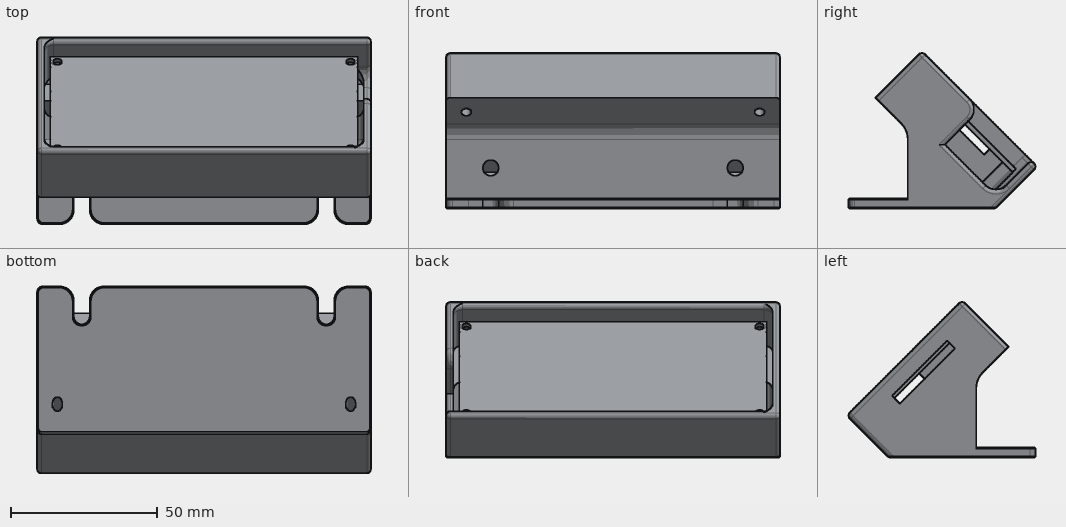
import cadquery as cq
import math

length = 113.8
plate_front_y = -31.9
plate_thickness = 3.5
front_wall_y = -11.7
rear_reach_y = 31.9
height = 53.0
tilt = math.radians(45)

side_wall = 2.5
floor_wall = 3.4
rim_radius = 1.5
rim_flat = 0.06
wall = 2 * rim_radius + rim_flat
face_length = 55.6
face_depth = 22.4
underside_radius = 7.5
plate_corner_radius = 2.0
plate_edge_chamfer = 0.5

mount_x = 41.7
slot_width = 5.3
slot_mouth_radius = 5.0
slot_end_y = -18.9
hole_diameter = 5.3
hole_z = 13.9

corner_radius = 3.0
base_thickness = 4.0
pocket_rear_offset = 9.3
pocket_front_y = -5.9
notch_depth = 17.0
notch_length = 24.6
notch_radius = 5.0
cable_slot_length = 26.5
cable_slot_width = 3.8
cable_slot_top = 6.1
cable_slot_offset = 12.7

board_gap = 1.6
board_side_gap = 2.0
board_thickness = 1.6
board_bottom_depth = 7.3
screw_inset = 2.4
floor_hole_diameter = 3.4
screw_diameter = 3.0
standoff_diameter = 5.0

clearance = 4.5

corner_loss = rim_radius * (math.sqrt(2) - 1)
rear_corner_y = rear_reach_y + corner_loss
front_corner_z = height + corner_loss
rear_corner_z = front_corner_z - face_length * math.sin(tilt)

side_plane = cq.Plane(origin=(0, 0, 0), xDir=(0, 1, 0), normal=(1, 0, 0))

half_length = length / 2
mount_places = (-mount_x, mount_x)
inner_x = half_length - side_wall
inner_rear_u = wall
inner_front_u = face_length - wall
notch_end_u = inner_rear_u + notch_length
floor_depth = face_depth - floor_wall
arc_middle = 1 - math.cos(tilt)
lip_bulge = rim_radius * arc_middle

board_x = inner_x - board_side_gap
board_rear_u = inner_rear_u + board_gap
board_front_u = inner_front_u - board_gap
board_top_depth = board_bottom_depth - board_thickness
screw_places = [
    (x, u)
    for x in (-board_x + screw_inset, board_x - screw_inset)
    for u in (board_rear_u + screw_inset, board_front_u - screw_inset)
]


def at(u, depth):
    """(y, z) of a point u up the open face and a depth below it."""
    along = u * math.cos(tilt)
    down = depth * math.cos(tilt)
    return (rear_corner_y - along - down, rear_corner_z + along - down)


def prism(points, x_from, x_to):
    """Straight prism along X over an outline of (y, z) points."""
    return (
        cq.Workplane(side_plane).workplane(offset=x_from).polyline(points).close().extrude(x_to - x_from)
    )


def tilted_rod(x, u, depth_from, depth_to, diameter):
    """Cylinder square to the open face."""
    y, z = at(u, depth_to)
    axis = cq.Vector(0, math.cos(tilt), math.sin(tilt))
    rod = cq.Solid.makeCylinder(diameter / 2, depth_to - depth_from, cq.Vector(x, y, z), axis)
    return cq.Workplane(rod)




def nearest(body, points):
    """The edges of a body that lie closest to the given points."""
    return body.newObject([body.edges(cq.NearestToPointSelector(point)).val() for point in points])


def rounded_rear(outline_start):
    """Start of a cutting outline: in along the rim, round the rear inner edge, down the rear wall."""
    return (
        outline_start.moveTo(*at(-clearance, 0))
        .lineTo(*at(inner_rear_u - rim_radius, 0))
        .threePointArc(at(inner_rear_u - lip_bulge, lip_bulge), at(inner_rear_u, rim_radius))
    )


def outer_block():
    """Plate and tilted housing as one solid block, with the bend below the tip rounded."""
    tip = at(face_length, face_depth)
    bend = (front_wall_y, tip[0] + tip[1] - front_wall_y)
    outline = [
        (plate_front_y, 0),
        (plate_front_y, plate_thickness),
        (front_wall_y, plate_thickness),
        bend,
        tip,
        at(face_length, 0),
        at(0, 0),
        (rear_corner_y - rear_corner_z, 0),
    ]
    block = prism(outline, -half_length, half_length)
    return nearest(block, [(0, *bend)]).fillet(underside_radius)


def notch():
    """Opening in the +X wall that runs from the rear wall to a rounded end."""
    dip = notch_radius * arc_middle
    start_x = inner_x - corner_radius - clearance
    return (
        rounded_rear(cq.Workplane(side_plane).workplane(offset=start_x))
        .lineTo(*at(inner_rear_u, notch_depth - notch_radius))
        .threePointArc(
            at(inner_rear_u + dip, notch_depth - dip), at(inner_rear_u + notch_radius, notch_depth)
        )
        .lineTo(*at(notch_end_u, notch_depth))
        .lineTo(*at(notch_end_u, notch_radius))
        .threePointArc(at(notch_end_u + dip, dip), at(notch_end_u + notch_radius, 0))
        .lineTo(*at(notch_end_u + notch_radius, -clearance))
        .lineTo(*at(-clearance, -clearance))
        .close()
        .extrude(half_length + clearance - start_x)
    )


def round_outside(block):
    """Round the rim, the front and rear corners and both side outlines above the plate."""
    spots = [(0, *at(0, 0)), (0, *at(face_length, 0))]
    rear_face_middle = at(0, rear_corner_z / math.sin(tilt) / 2)
    for x in (-half_length, half_length):
        spots.append((x, *at(face_length, face_depth / 2)))
        spots.append((x, *rear_face_middle))
    spots.append((-half_length, *at(face_length / 2, 0)))
    spots.append((half_length, *at((notch_end_u + face_length) / 2, 0)))
    spots.append((half_length, *at(notch_end_u, notch_depth / 2)))
    spots.append((half_length, *at(notch_end_u / 2, notch_depth)))
    spots.append((half_length, *at(inner_rear_u, notch_depth / 2)))
    return nearest(block, spots).fillet(rim_radius)


def main_cavity():
    """Tilted box behind the open face, cut off level above the base, with rounded upright corners."""
    box = (
        rounded_rear(cq.Workplane(side_plane).workplane(offset=-inner_x))
        .lineTo(*at(inner_rear_u, floor_depth))
        .lineTo(*at(inner_front_u, floor_depth))
        .lineTo(*at(inner_front_u, rim_radius))
        .threePointArc(at(inner_front_u + lip_bulge, lip_bulge), at(inner_front_u + rim_radius, 0))
        .lineTo(*at(face_length + clearance, 0))
        .lineTo(*at(face_length + clearance, -clearance))
        .lineTo(*at(-clearance, -clearance))
        .close()
        .extrude(2 * inner_x)
    )
    corners = []
    for x in (-inner_x, inner_x):
        corners.append((x, *at(inner_rear_u, floor_depth / 2)))
        corners.append((x, *at(inner_front_u, floor_depth / 2)))
    below_base = cq.Workplane("XY").box(2 * length, 2 * length, 2 * base_thickness)
    return nearest(box, corners).fillet(corner_radius).cut(below_base)


def pocket():
    """Recess below the cavity floor, level at the bottom, with rounded front and side edges."""
    step_u = inner_rear_u + pocket_rear_offset
    step_top = at(step_u, floor_depth - clearance)
    step_bottom_y = step_top[0] - step_top[1] + base_thickness
    front_top_z = sum(at(0, floor_depth)) - pocket_front_y
    outline = [
        step_top,
        (step_bottom_y, base_thickness),
        (pocket_front_y, base_thickness),
        (pocket_front_y, front_top_z + clearance),
    ]
    recess = prism(outline, -inner_x, inner_x)
    middle_y = (step_bottom_y + pocket_front_y) / 2
    spots = [(0, pocket_front_y, base_thickness)]
    for x in (-inner_x, inner_x):
        spots.append((x, middle_y, base_thickness))
        spots.append((x, pocket_front_y, front_top_z / 2))
    return nearest(recess, spots).fillet(corner_radius)


def plate_slot(x):
    """Open slot in the plate edge with a round end and flared mouth corners."""
    half = slot_width / 2
    mouth = half + slot_mouth_radius
    throat_y = plate_front_y + slot_mouth_radius
    bend = slot_mouth_radius * arc_middle
    end_y = slot_end_y - half
    return (
        cq.Workplane("XY")
        .moveTo(x - mouth, plate_front_y)
        .threePointArc((x - half - bend, plate_front_y + bend), (x - half, throat_y))
        .lineTo(x - half, end_y)
        .threePointArc((x, slot_end_y), (x + half, end_y))
        .lineTo(x + half, throat_y)
        .threePointArc((x + half + bend, plate_front_y + bend), (x + mouth, plate_front_y))
        .close()
        .extrude(plate_thickness)
    )


def upright_hole(x):
    """Hole through the upright front wall into the pocket."""
    start = cq.Vector(x, front_wall_y - clearance, hole_z)
    depth = pocket_front_y - front_wall_y + 2 * clearance
    return cq.Workplane(cq.Solid.makeCylinder(hole_diameter / 2, depth, start, cq.Vector(0, 1, 0)))


def cable_slot():
    """Slot through the -X wall, along the open face."""
    start_u = inner_rear_u + cable_slot_offset
    end_u = start_u + cable_slot_length
    bottom = cable_slot_top + cable_slot_width
    outline = [
        at(start_u, cable_slot_top),
        at(end_u, cable_slot_top),
        at(end_u, bottom),
        at(start_u, bottom),
    ]
    return prism(outline, -half_length - clearance, -inner_x + clearance)


def chamfer_plate_edges(body):
    """Chamfer the upper and lower edges of the plate, including those of its slots and sides."""
    side_y = (plate_front_y + front_wall_y) / 2
    tab_x = (mount_x + slot_width / 2 + slot_mouth_radius + half_length - plate_corner_radius) / 2
    spots = []
    for z in (0, plate_thickness):
        spots.append((0, plate_front_y, z))
        for side in (-1, 1):
            spots.append((side * half_length, side_y, z))
            spots.append((side * tab_x, plate_front_y, z))
    return nearest(body, spots).chamfer(plate_edge_chamfer)


def make_housing():
    body = round_outside(outer_block().cut(notch()))
    body = nearest(
        body, [(x, plate_front_y, plate_thickness / 2) for x in (-half_length, half_length)]
    ).fillet(plate_corner_radius)
    for x in mount_places:
        body = body.cut(plate_slot(x))
    body = chamfer_plate_edges(body)
    body = body.cut(main_cavity()).cut(pocket()).cut(cable_slot())
    for x in mount_places:
        body = body.cut(upright_hole(x))
    for x, u in screw_places:
        body = body.cut(tilted_rod(x, u, floor_depth - clearance, 2 * face_depth, floor_hole_diameter))
    return body


def make_board():
    outline = [
        at(board_rear_u, board_top_depth),
        at(board_front_u, board_top_depth),
        at(board_front_u, board_bottom_depth),
        at(board_rear_u, board_bottom_depth),
    ]
    sheet = prism(outline, -board_x, board_x)
    for x, u in screw_places:
        sheet = sheet.cut(tilted_rod(x, u, 0, floor_depth, screw_diameter))
    return sheet


def make_standoff(x, u):
    """Tube between the cavity floor and the board."""
    tube = tilted_rod(x, u, board_bottom_depth, floor_depth, standoff_diameter)
    return tube.cut(tilted_rod(x, u, 0, face_depth, screw_diameter))


housing = make_housing()
board = make_board()
standoffs = [make_standoff(x, u) for x, u in screw_places]

result = cq.Compound.makeCompound([housing.val(), board.val(), *[tube.val() for tube in standoffs]])